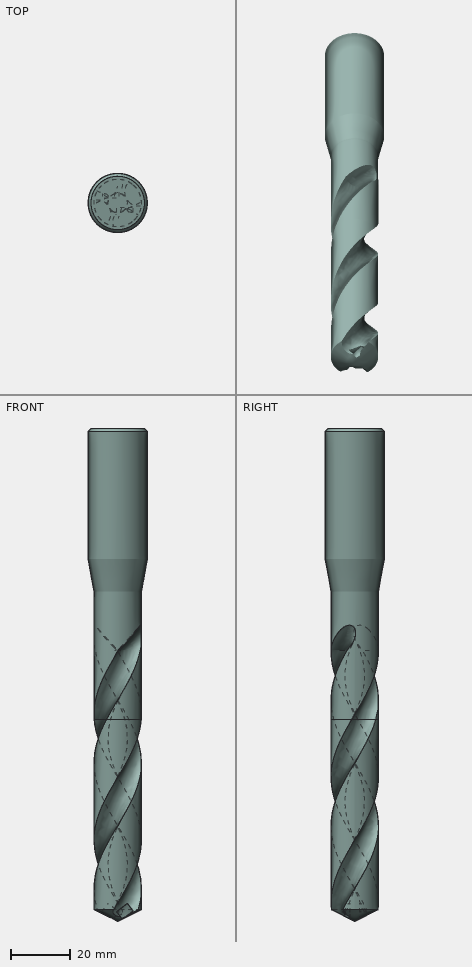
import math

import cadquery as cq

total_length = 166.0
point_height = 4.0
split_z = 68.0
flute_end_z = 91.3
neck_top_z = 111.0
shank_start_z = 122.0

drill_radius = 8.0
shank_radius = 10.0
shank_chamfer = 1.0

flute_count = 2
flute_pitch = 84.6
flute_radius = 4.75
flute_offset = drill_radius
flute_end_angle = -53.5

runout_height = 12.0
runout_side_slope = 0.98
runout_outward_slope = 0.2

gash_length = 4.6
gash_width = 3.2
gash_tilt = 38.0
gash_center_x = 2.4
gash_center_z = 3.4
gash_floor_y = -1.6

flute_turns = [360.0 * index / flute_count for index in range(flute_count)]


def flute_angle(z):
    """Angle about the axis, in degrees, of the first flute's centre at height z."""
    return flute_end_angle + 360.0 * (z - flute_end_z) / flute_pitch


def turn_xy(x, y, angle):
    """Point (x, y) turned about the origin by an angle in degrees."""
    cosine = math.cos(math.radians(angle))
    sine = math.sin(math.radians(angle))
    return x * cosine - y * sine, x * sine + y * cosine


def revolve_profile(points):
    """Solid of revolution about Z from a half profile of (radius, z) points."""
    return cq.Workplane("XZ").polyline(points).close().revolve(360, (0, 0, 0), (0, 1, 0))


def flute_circle(z, turn):
    """Cross-section of one flute at height z."""
    center = turn_xy(flute_offset, 0, flute_angle(z) + turn)
    return cq.Workplane("XY", origin=(0, 0, z)).moveTo(*center).circle(flute_radius)


def helical_flute(start_z, end_z, turn):
    """Cutter for one flute between two heights."""
    twist = flute_angle(end_z) - flute_angle(start_z)
    return flute_circle(start_z, turn).twistExtrude(end_z - start_z, twist)


def flute_runout(turn):
    """Cutter that carries one flute straight up and out of the drill."""
    angle = flute_end_angle + turn
    outward = flute_offset + runout_outward_slope * runout_height
    sideways = runout_side_slope * runout_height
    start = (*turn_xy(flute_offset, 0, angle), flute_end_z)
    end = (*turn_xy(outward, sideways, angle), flute_end_z + runout_height)
    path = cq.Workplane("XY").polyline([start, end])
    return flute_circle(flute_end_z, turn).sweep(path)


def point_gash(turn):
    """Cutter for the notch beside the point in one flute."""
    notch = (
        cq.Workplane("XZ", origin=(gash_center_x, gash_floor_y, gash_center_z))
        .transformed(rotate=(0, 0, gash_tilt))
        .rect(gash_length, gash_width)
        .extrude(drill_radius)
    )
    return notch.rotate((0, 0, 0), (0, 0, 1), turn)


cutting_part = revolve_profile([
    (0, 0),
    (drill_radius, point_height),
    (drill_radius, split_z),
    (0, split_z),
])
for turn in flute_turns:
    cutting_part = cutting_part.cut(helical_flute(0, split_z, turn))
    cutting_part = cutting_part.cut(point_gash(turn))

shank = revolve_profile([
    (0, split_z),
    (drill_radius, split_z),
    (drill_radius, neck_top_z),
    (shank_radius, shank_start_z),
    (shank_radius, total_length - shank_chamfer),
    (shank_radius - shank_chamfer, total_length),
    (0, total_length),
])
for turn in flute_turns:
    shank = shank.cut(helical_flute(split_z, flute_end_z, turn))
    shank = shank.cut(flute_runout(turn))

result = cq.Compound.makeCompound([cutting_part.val(), shank.val()])